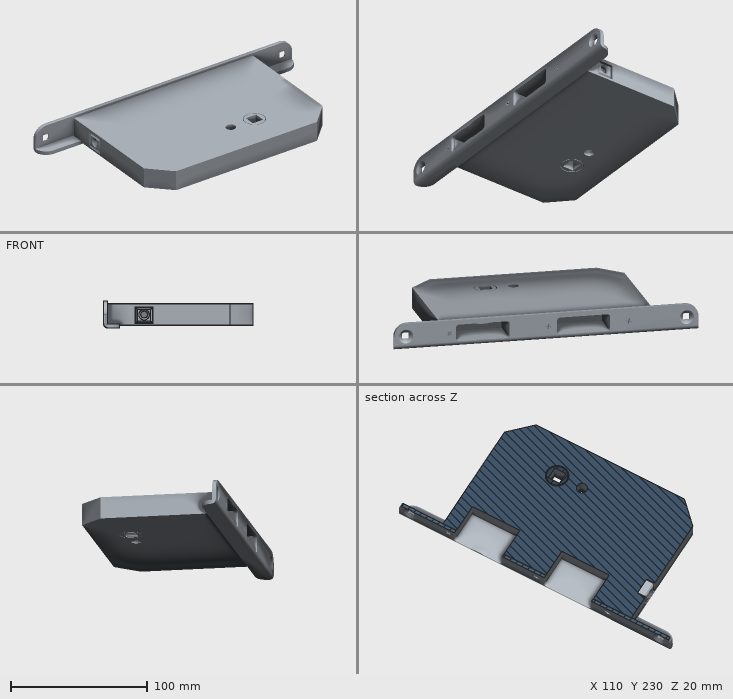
import cadquery as cq

PLATE_LENGTH = 230.0
PLATE_HEIGHT = 20.0
PLATE_THICKNESS = 3.0
FLANGE_WIDTH = 12.0
CORNER_RADIUS = PLATE_HEIGHT / 2
BEND_INNER_RADIUS = 0.5
BEND_OUTER_RADIUS = BEND_INNER_RADIUS + PLATE_THICKNESS
MID_Z = PLATE_HEIGHT / 2

FIXING_HOLE_Y = 106.0
FIXING_SQUARE = 4.8
FIXING_SINK_RADIUS = 5.3
FIXING_SINK_DEPTH = 2.5
FIXING_SINK_END_RADIUS = FIXING_SQUARE / 2

OPENING_HEIGHT = 12.9
OPENING_CORNER_RADIUS = 2.3
LATCH_OPENING_TOP_Y = 68.3
LATCH_OPENING_BOTTOM_Y = 27.8
LATCH_CAVITY_TOP_Y = 67.8
DEADBOLT_OPENING_TOP_Y = -8.0
DEADBOLT_OPENING_BOTTOM_Y = -48.0
CAVITY_DEPTH = 23.0
BUMP_Y = 48.0
BUMP_LENGTH = 12.0
BUMP_RISE = 0.7

OVERALL_WIDTH = 110.0
CASE_THICKNESS = 16.0
CASE_TOP_Y = 79.5
CASE_BOTTOM_Y = -80.7
CASE_CORNER_CUT = 17.0
CASE_BASE_Z = MID_Z - CASE_THICKNESS / 2
CASE_DEPTH = OVERALL_WIDTH - PLATE_THICKNESS
CASE_LENGTH = CASE_TOP_Y - CASE_BOTTOM_Y

FOLLOWER_X = 80.0
FOLLOWER_Y = 27.4
FOLLOWER_RADIUS = 8.0
FOLLOWER_BORE_RADIUS = 8.5
FOLLOWER_SQUARE = 9.2
ROUND_HOLE_Y = 6.2
ROUND_HOLE_RADIUS = 4.0

SCREW_POSITIONS = [(73.1, 45.0), (-1.4, 10.0), (-62.0, 10.0)]
SCREW_HEAD_RADIUS = 4.0
SCREW_SHANK_RADIUS = 2.0
SCREW_LENGTH = 13.8
CROSS_LENGTH = 4.0
CROSS_WIDTH = 1.0
CROSS_DEPTH = 1.5

BLOCK_X = 30.0
BLOCK_Z = 9.5
BLOCK_HOLE_Z = 10.0
RECESS_WIDTH = 13.3
RECESS_HEIGHT = 12.0
RECESS_DEPTH = 7.0
BLOCK_GAP = 0.7
BLOCK_CHAMFER = 1.2
BLOCK_SINK_RADIUS = 4.0
BLOCK_HOLE_RADIUS = 2.5
BLOCK_SINK_DEPTH = 1.5
BLOCK_HOLE_DEPTH = 3.5
BLOCK_WIDTH = RECESS_WIDTH - 2 * BLOCK_GAP
BLOCK_HEIGHT = RECESS_HEIGHT - 2 * BLOCK_GAP


def cone_along_x(start_radius, end_radius, length, y):
    """Truncated cone from the plate front into +X at height MID_Z."""
    return cq.Workplane(cq.Solid.makeCone(
        start_radius, end_radius, length, cq.Vector(0, y, MID_Z), cq.Vector(1, 0, 0)))


def cylinder_along_x(radius, length, y):
    """Cylinder from the plate front into +X at height MID_Z."""
    return cq.Workplane(cq.Solid.makeCylinder(
        radius, length, cq.Vector(0, y, MID_Z), cq.Vector(1, 0, 0)))


def box_along_x(length, bottom_y, top_y, height):
    """Box from the plate front into +X, centred on MID_Z."""
    return cq.Workplane().box(length, top_y - bottom_y, height, centered=(False, True, True)).translate(
        (0, (top_y + bottom_y) / 2, MID_Z))


def screw_envelope(y):
    """Screw without its drive; it also shapes the hole it sits in."""
    head = cone_along_x(SCREW_HEAD_RADIUS, SCREW_SHANK_RADIUS, PLATE_THICKNESS, y)
    return head.union(cylinder_along_x(SCREW_SHANK_RADIUS, SCREW_LENGTH, y))


def make_screw(y, turn):
    screw = screw_envelope(y)
    arm = box_along_x(CROSS_DEPTH, y - CROSS_LENGTH / 2, y + CROSS_LENGTH / 2, CROSS_WIDTH)
    for angle in (turn, turn + 90):
        screw = screw.cut(arm.rotate((0, y, MID_Z), (1, y, MID_Z), angle))
    return screw


def plate_opening(bottom_y, top_y):
    opening = box_along_x(PLATE_THICKNESS, bottom_y, top_y, OPENING_HEIGHT)
    return opening.edges("|X").fillet(OPENING_CORNER_RADIUS)


def opening_bump(side):
    """Shallow arched bump on the upper (side=1) or lower (side=-1) edge of the latch opening."""
    edge_z = MID_Z + side * OPENING_HEIGHT / 2
    return (
        cq.Workplane("YZ")
        .moveTo(BUMP_Y - BUMP_LENGTH / 2, edge_z)
        .threePointArc((BUMP_Y, edge_z - side * BUMP_RISE), (BUMP_Y + BUMP_LENGTH / 2, edge_z))
        .close()
        .extrude(PLATE_THICKNESS)
    )


def make_plate():
    upright = cq.Workplane().box(
        PLATE_THICKNESS, PLATE_LENGTH, PLATE_HEIGHT, centered=(False, True, False))
    upright = upright.edges("|X and >Z").fillet(CORNER_RADIUS)
    flange = cq.Workplane().box(
        FLANGE_WIDTH, PLATE_LENGTH, PLATE_THICKNESS, centered=(False, True, False))
    plate = upright.union(flange)
    plate = plate.edges("|Y and <X and <Z").fillet(BEND_OUTER_RADIUS)
    inner_edge = cq.selectors.NearestToPointSelector((PLATE_THICKNESS, 0, PLATE_THICKNESS))
    plate = plate.edges("|Y").edges(inner_edge).fillet(BEND_INNER_RADIUS)

    plan = cq.Workplane().box(FLANGE_WIDTH, PLATE_LENGTH, PLATE_HEIGHT, centered=(False, True, False))
    plate = plate.intersect(plan.edges("|Z and >X").fillet(CORNER_RADIUS))

    for y in (FIXING_HOLE_Y, -FIXING_HOLE_Y):
        plate = plate.cut(cone_along_x(FIXING_SINK_RADIUS, FIXING_SINK_END_RADIUS, FIXING_SINK_DEPTH, y))
        half_square = FIXING_SQUARE / 2
        plate = plate.cut(box_along_x(PLATE_THICKNESS, y - half_square, y + half_square, FIXING_SQUARE))

    latch_opening = plate_opening(LATCH_OPENING_BOTTOM_Y, LATCH_OPENING_TOP_Y)
    for side in (1, -1):
        latch_opening = latch_opening.cut(opening_bump(side))
    plate = plate.cut(latch_opening)
    plate = plate.cut(plate_opening(DEADBOLT_OPENING_BOTTOM_Y, DEADBOLT_OPENING_TOP_Y))

    for y, _ in SCREW_POSITIONS:
        plate = plate.cut(screw_envelope(y))
    return plate


def make_case(plate):
    case = (
        cq.Workplane()
        .box(CASE_DEPTH, CASE_LENGTH, CASE_THICKNESS, centered=False)
        .translate((PLATE_THICKNESS, CASE_BOTTOM_Y, CASE_BASE_Z))
        .edges("|Z and >X")
        .chamfer(CASE_CORNER_CUT)
    )
    case = case.cut(plate)

    cavity_end = PLATE_THICKNESS + CAVITY_DEPTH
    case = case.cut(box_along_x(cavity_end, LATCH_OPENING_BOTTOM_Y, LATCH_CAVITY_TOP_Y, OPENING_HEIGHT))
    case = case.cut(box_along_x(
        cavity_end, DEADBOLT_OPENING_BOTTOM_Y, DEADBOLT_OPENING_TOP_Y, OPENING_HEIGHT))

    bore = cq.Workplane().center(FOLLOWER_X, FOLLOWER_Y).circle(FOLLOWER_BORE_RADIUS)
    case = case.cut(bore.extrude(PLATE_HEIGHT))
    round_hole = cq.Workplane().center(FOLLOWER_X, ROUND_HOLE_Y).circle(ROUND_HOLE_RADIUS)
    case = case.cut(round_hole.extrude(PLATE_HEIGHT))

    recess = cq.Workplane().box(RECESS_WIDTH, RECESS_DEPTH, RECESS_HEIGHT, centered=(True, False, True))
    case = case.cut(recess.translate((BLOCK_X, CASE_BOTTOM_Y, BLOCK_Z)))

    for y, _ in SCREW_POSITIONS:
        case = case.cut(screw_envelope(y))
    return case


def make_follower():
    return (
        cq.Workplane()
        .center(FOLLOWER_X, FOLLOWER_Y)
        .circle(FOLLOWER_RADIUS)
        .rect(FOLLOWER_SQUARE, FOLLOWER_SQUARE)
        .extrude(CASE_THICKNESS)
        .translate((0, 0, CASE_BASE_Z))
    )


def make_side_block():
    """Chamfered block standing on the recess floor, with a countersunk blind hole."""
    block = (
        cq.Workplane()
        .box(BLOCK_WIDTH, RECESS_DEPTH, BLOCK_HEIGHT, centered=(True, False, True))
        .translate((BLOCK_X, CASE_BOTTOM_Y, BLOCK_Z))
        .faces("<Y")
        .chamfer(BLOCK_CHAMFER)
    )
    mouth = cq.Vector(BLOCK_X, CASE_BOTTOM_Y, BLOCK_HOLE_Z)
    inward = cq.Vector(0, 1, 0)
    block = block.cut(cq.Workplane(
        cq.Solid.makeCone(BLOCK_SINK_RADIUS, BLOCK_HOLE_RADIUS, BLOCK_SINK_DEPTH, mouth, inward)))
    return block.cut(cq.Workplane(
        cq.Solid.makeCylinder(BLOCK_HOLE_RADIUS, BLOCK_HOLE_DEPTH, mouth, inward)))


plate = make_plate()
case = make_case(plate)
follower = make_follower()
side_block = make_side_block()
screws = [make_screw(y, turn) for y, turn in SCREW_POSITIONS]

result = cq.Compound.makeCompound(
    [plate.val(), case.val(), follower.val(), side_block.val()] + [screw.val() for screw in screws])